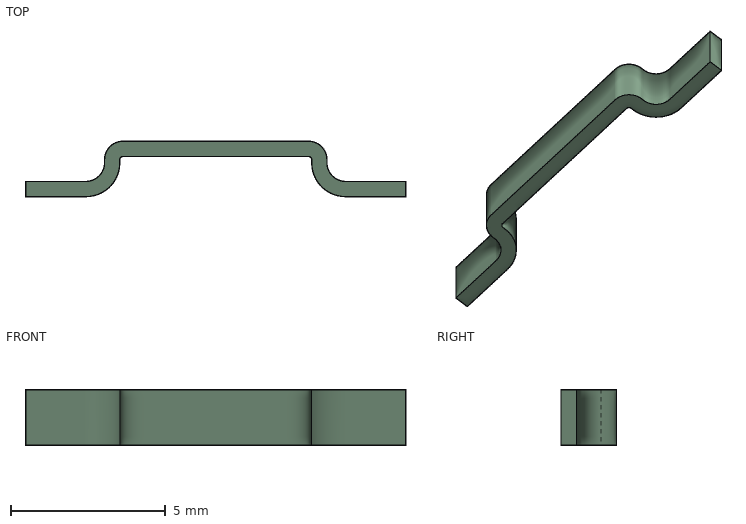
import cadquery as cq
import math


LENGTH = 12.3
STRIP_WIDTH = 1.8
DEPTH = 1.8
THICKNESS = 0.5
BRIDGE_INNER_SPAN = 6.2
TOP_INNER_RADIUS = 0.1
FOOT_INNER_RADIUS = 0.6

TOP_OUTER_RADIUS = TOP_INNER_RADIUS + THICKNESS
FOOT_OUTER_RADIUS = FOOT_INNER_RADIUS + THICKNESS

end_x = -LENGTH / 2
wall_inner_x = -BRIDGE_INNER_SPAN / 2
wall_outer_x = wall_inner_x - THICKNESS
foot_front_y = -DEPTH / 2
foot_back_y = foot_front_y + THICKNESS
bridge_back_y = DEPTH / 2
bridge_front_y = bridge_back_y - THICKNESS

foot_center = (wall_outer_x - FOOT_INNER_RADIUS, foot_back_y + FOOT_INNER_RADIUS)
top_center = (wall_inner_x + TOP_INNER_RADIUS, bridge_front_y - TOP_INNER_RADIUS)


def arc_point(center, radius, degrees):
    """Point on a circle at the given angle, counted from +X."""
    angle = math.radians(degrees)
    return (center[0] + radius * math.cos(angle), center[1] + radius * math.sin(angle))


def add_arc(outline, center, radius, middle_degrees, end_degrees):
    """Continue the outline along an arc about the given centre."""
    middle = arc_point(center, radius, middle_degrees)
    return outline.threePointArc(middle, arc_point(center, radius, end_degrees))


def half_strip():
    """Left half of the strip, from the end of the foot to the symmetry plane."""
    outline = cq.Workplane("XY").workplane(offset=-STRIP_WIDTH / 2)

    outline = outline.moveTo(end_x, foot_front_y).lineTo(foot_center[0], foot_front_y)
    outline = add_arc(outline, foot_center, FOOT_OUTER_RADIUS, -45, 0)
    outline = outline.lineTo(wall_inner_x, top_center[1])
    outline = add_arc(outline, top_center, TOP_INNER_RADIUS, 135, 90)
    outline = outline.lineTo(0, bridge_front_y)

    outline = outline.lineTo(0, bridge_back_y).lineTo(top_center[0], bridge_back_y)
    outline = add_arc(outline, top_center, TOP_OUTER_RADIUS, 135, 180)
    outline = outline.lineTo(wall_outer_x, foot_center[1])
    outline = add_arc(outline, foot_center, FOOT_INNER_RADIUS, -45, -90)
    outline = outline.lineTo(end_x, foot_back_y)

    return outline.close().extrude(STRIP_WIDTH)


left_half = half_strip()
result = left_half.union(left_half.mirror("YZ")).clean()